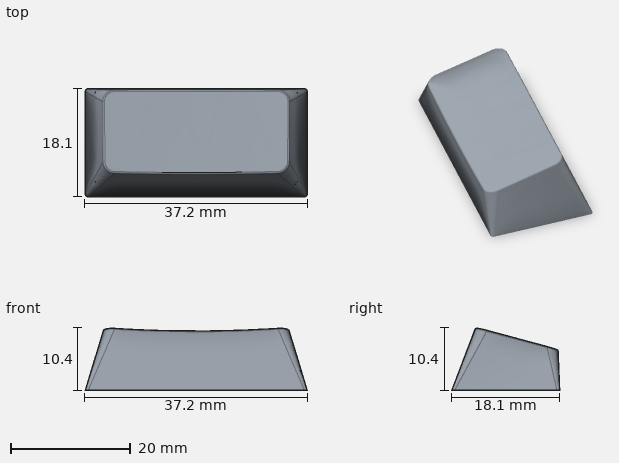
import cadquery as cq
import math

base_length = 37.15
base_width = 18.1
base_corner_radius = 0.5

crown_length = 31.0
crown_width = 14.23
crown_corner_radius = 2.0
crown_tilt = 15.1
crown_offset_y = 1.9
crown_height = 8.85

dish_depth = 0.6
dish_rim_drop = 0.1
rim_fillet = 0.3

crown_center = cq.Vector(0, crown_offset_y, crown_height)


def rounded_rectangle(length, width, corner_radius):
    return cq.Sketch().rect(length, width).vertices().fillet(corner_radius)


def make_walls():
    """Loft from the foot to the tilted crown."""
    base = rounded_rectangle(base_length, base_width, base_corner_radius)
    crown = rounded_rectangle(crown_length, crown_width, crown_corner_radius)
    crown_location = cq.Location(crown_center, cq.Vector(1, 0, 0), -crown_tilt)
    return cq.Workplane("XY").placeSketch(base, crown.moved(crown_location)).loft()


def make_dish_cutter():
    """Cylinder parallel to the tilted crown, sagging by dish_depth between the side edges."""
    half_chord = crown_length / 2
    radius = (half_chord**2 + dish_depth**2) / (2 * dish_depth)
    tilt = math.radians(crown_tilt)
    axis = cq.Vector(0, math.cos(tilt), -math.sin(tilt))
    normal = cq.Vector(0, math.sin(tilt), math.cos(tilt))
    axis_height = radius - dish_depth - dish_rim_drop
    start = crown_center + normal * axis_height - axis * base_width
    return cq.Solid.makeCylinder(radius, 2 * base_width, start, axis)


dished = make_walls().cut(cq.Workplane(make_dish_cutter()))

dish_face = dished.faces(">Z")
result = dish_face.edges().fillet(rim_fillet)